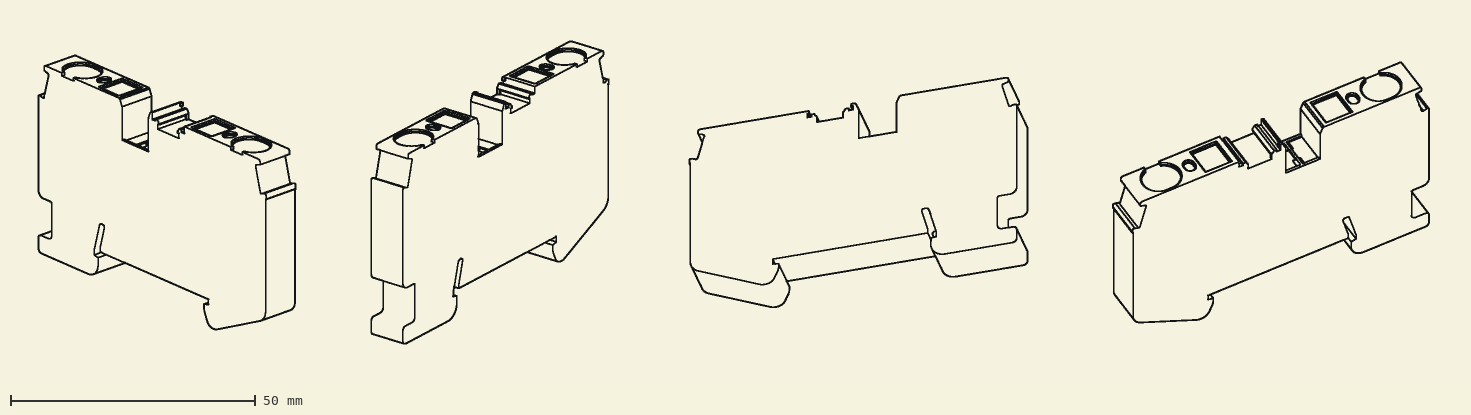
import cadquery as cq
import math


length = 69.5
thickness = 8.15
height = 42.1
back_y = thickness / 2
front_y = -back_y

right_wall_x = 69.35
head_axis = 34.72
shoulder_z = 35.0
bead_bottom_z = 33.85
shoulder_groove_z = 34.7
shoulder_flat_x = 0.5
groove_outer_x = 1.3
groove_inner_x = 1.65
lip_x = 1.77
lip_tip_z = 40.95
neck_x = 3.2
neck_top_z = 40.5

slot_left_x = 25.55
slot_right_x = 33.55
slot_axis = (slot_left_x + slot_right_x) / 2
slot_floor_z = 33.05
slot_bevel_x = 24.95
slot_bevel_bottom_z = 40.45
slot_edge_x = 24.6
slot_edge_z = 41.9

trough_axis = 39.65
trough_mouth_x = 34.78
trough_ledge_z = 40.55
trough_ridge_x = 35.7
trough_ridge_end_x = 36.3
trough_ridge_z = 41.1
trough_lip_x = 36.9
trough_lip_z = 40.25
trough_lip_underside_z = 40.05
trough_wall_x = 36.45
trough_floor_z = 38.95

tab_thickness = 0.65
tab_tip_x = 35.25
tab_slant = 0.15
tab_bottom_z = 41.45

underside_z = 6.05
left_step_z = 12.4
left_step_x = 4.1
foot_top_z = 4.0
tooth_root_z = 4.85
tooth_tip_z = 4.6
left_tooth_root_x = 17.1
left_tooth_tip_x = 18.25
right_tooth_root_x = 51.8
right_tooth_tip_x = 50.55
right_hook_side_z = 3.2
right_hook_heel_x = 52.0
right_heel_x = 54.1
right_corner_z = 7.05

slit_lean = (neck_x - groove_inner_x) / (neck_top_z - shoulder_groove_z)
slit_right_x = 18.9
slit_right_bottom_z = 7.05
slit_top_z = left_step_z

groove_radius = 0.2
neck_radius = 0.4
lip_tip_radius = 0.3
lip_top_radius = 0.55
bead_radius = 0.3
right_corner_radius = 3.0
right_heel_radius = 2.0
right_hook_side_radius = 3.0
slit_right_radius = 0.5
slit_left_radius = 0.7
foot_bottom_radius = 1.0
foot_top_radius = 0.85
step_bottom_radius = 1.0
step_top_radius = 0.4
left_wall_bottom_radius = 1.5
left_shoulder_radius = 0.4
left_hook_radius = 3.0

recess_depth = 0.65
rim_chamfer = 0.27
rim_chamfer_angle = 45
screw_x = 8.95
screw_length = 8.7
screw_width = 7.4
screw_opening_width = 3.5
test_hole_x = 15.55
test_hole_length = 3.2
test_hole_width = 2.55
test_hole_angle = 90
wire_entry_x = 20.6
wire_entry_size_x = 6.25
wire_entry_size_y = 6.5

pocket_depth = 0.4
pocket_half_width = 3.46
bar_left_x = 29.25
bar_right_x = 29.8
left_ramp_length = 0.55
right_ramp_length = 0.7
ramp_inner_y = 1.5


def mirrored(points, axis):
    """Mirror (x, z, radius) corners about the line x = axis, keeping the running order."""
    return [(2 * axis - x, z, radius) for x, z, radius in reversed(points)]


def rounded_outline(corners):
    """Closed XZ outline through (x, z, radius) corners, with tangent arcs where radius > 0."""
    segments = []
    for index, (x, z, radius) in enumerate(corners):
        corner = cq.Vector(x, z)
        previous = cq.Vector(*corners[index - 1][:2])
        following = cq.Vector(*corners[(index + 1) % len(corners)][:2])
        to_previous = (previous - corner).normalized()
        to_following = (following - corner).normalized()
        half_angle = to_previous.getAngle(to_following) / 2
        tangent_length = radius / math.tan(half_angle)
        middle_distance = radius / math.sin(half_angle) - radius
        bisector = (to_previous + to_following).normalized()
        segments.append((
            corner + to_previous * tangent_length,
            corner + bisector * middle_distance,
            corner + to_following * tangent_length,
            radius,
        ))

    outline = cq.Workplane("XZ").moveTo(segments[0][2].x, segments[0][2].y)
    for start, middle, end, radius in segments[1:] + segments[:1]:
        outline = outline.lineTo(start.x, start.y)
        if radius > 0:
            outline = outline.threePointArc((middle.x, middle.y), (end.x, end.y))
    return outline.close()


def extrude_between(outline, y_from, y_to):
    """Extrude an XZ outline from y_from to y_to."""
    return outline.extrude(y_from - y_to).translate((0, y_from, 0))


def make_body():
    """Profile of the housing, listed clockwise from the left shoulder."""
    left_neck = [
        (shoulder_flat_x, shoulder_z, 0),
        (groove_outer_x, shoulder_groove_z, 0),
        (groove_inner_x, shoulder_groove_z, groove_radius),
        (neck_x, neck_top_z, neck_radius),
        (lip_x, lip_tip_z, lip_tip_radius),
        (lip_x, height, lip_top_radius),
    ]
    slot_left_side = [
        (slot_edge_x, height, 0),
        (slot_bevel_x, slot_edge_z, 0),
        (slot_left_x, slot_bevel_bottom_z, 0),
        (slot_left_x, slot_floor_z, 0),
    ]
    trough_left_side = [
        (trough_mouth_x, height, 0),
        (trough_mouth_x, trough_ledge_z, 0),
        (trough_ridge_x, trough_ledge_z, 0),
        (trough_ridge_x, trough_ridge_z, 0),
        (trough_ridge_end_x, trough_ridge_z, 0),
        (trough_lip_x, trough_lip_z, 0),
        (trough_lip_x, trough_lip_underside_z, 0),
        (trough_wall_x, trough_lip_underside_z, 0),
        (trough_wall_x, trough_floor_z, 0),
    ]
    right_side = [
        (length, shoulder_z, bead_radius),
        (length, bead_bottom_z, 0),
        (right_wall_x, bead_bottom_z, 0),
        (right_wall_x, right_corner_z, right_corner_radius),
    ]
    right_hook = [
        (right_heel_x, 0, right_heel_radius),
        (right_hook_heel_x, 0, right_heel_radius),
        (right_tooth_tip_x, right_hook_side_z, right_hook_side_radius),
        (right_tooth_tip_x, tooth_tip_z, 0),
        (right_tooth_root_x, tooth_root_z, 0),
        (right_tooth_root_x, underside_z, 0),
    ]
    slit = [
        (slit_right_x, underside_z, 0),
        (slit_right_x, slit_right_bottom_z, 0),
        (slit_right_x + slit_lean * (slit_top_z - slit_right_bottom_z), slit_top_z, slit_right_radius),
        (left_tooth_root_x + slit_lean * (slit_top_z - underside_z), slit_top_z, slit_left_radius),
        (left_tooth_root_x, underside_z, 0),
    ]
    left_hook = [
        (left_tooth_root_x, tooth_root_z, 0),
        (left_tooth_tip_x, tooth_tip_z, 0),
        (left_tooth_tip_x, 0, left_hook_radius),
    ]
    left_foot = [
        (0, 0, foot_bottom_radius),
        (0, foot_top_z, foot_top_radius),
        (left_step_x, foot_top_z, step_bottom_radius),
        (left_step_x, left_step_z, step_top_radius),
        (0, left_step_z, left_wall_bottom_radius),
        (0, shoulder_z, left_shoulder_radius),
    ]
    outline = rounded_outline(
        left_neck
        + slot_left_side + mirrored(slot_left_side, slot_axis)
        + trough_left_side + mirrored(trough_left_side, trough_axis)
        + mirrored(left_neck, head_axis)
        + right_side + right_hook + slit + left_hook + left_foot
    )
    return extrude_between(outline, front_y, back_y)


def make_marker_tabs():
    """Tabs at the back that overhang the trough ledges and close the ends of its undercuts."""
    hook = [
        (trough_mouth_x, tab_bottom_z, 0),
        (trough_mouth_x, height, 0),
        (tab_tip_x - tab_slant, height, 0),
        (tab_tip_x, tab_bottom_z, 0),
    ]
    web = [
        (trough_wall_x, trough_floor_z, 0),
        (trough_wall_x, trough_lip_underside_z, 0),
        (trough_lip_x, trough_lip_underside_z, 0),
        (trough_lip_x, trough_floor_z, 0),
    ]
    tabs = []
    for corners in (hook, web, mirrored(hook, trough_axis), mirrored(web, trough_axis)):
        tabs.append(extrude_between(rounded_outline(corners), back_y - tab_thickness, back_y))
    return tabs


def chamfered_recess(make_outline, long_size, cross_size, *angle):
    """Straight recess cutter with a chamfered rim; the sizes are those of the rim opening."""
    top = cq.Workplane("XY", origin=(0, 0, height))
    rim = make_outline(top, long_size, cross_size, *angle).extrude(-rim_chamfer, taper=rim_chamfer_angle)
    inset = 2 * rim_chamfer
    well = make_outline(top, long_size - inset, cross_size - inset, *angle).extrude(-recess_depth)
    return rim.union(well)


def make_top_recesses():
    """Cutters for the left screw recess, test hole and wire entry."""
    screw = chamfered_recess(cq.Workplane.slot2D, screw_length, screw_width)
    opening = cq.Workplane("XY").box(
        screw_opening_width, back_y, recess_depth, centered=(True, False, False)
    ).translate((0, front_y, height - recess_depth))
    screw = screw.union(opening).translate((screw_x, 0, 0))

    test_hole = chamfered_recess(cq.Workplane.slot2D, test_hole_length, test_hole_width, test_hole_angle)
    test_hole = test_hole.translate((test_hole_x, 0, 0))

    wire_entry = chamfered_recess(cq.Workplane.rect, wire_entry_size_x, wire_entry_size_y)
    wire_entry = wire_entry.translate((wire_entry_x, 0, 0))
    return screw.union(test_hole).union(wire_entry)


def make_slot_pockets():
    """Cutter for the slot-floor pockets, leaving the bar and its four end ramps."""
    pocket_floor_z = slot_floor_z - pocket_depth
    cutter = cq.Workplane("XY").box(
        slot_right_x - slot_left_x, 2 * pocket_half_width, pocket_depth, centered=(False, True, False)
    ).translate((slot_left_x, 0, pocket_floor_z))
    bar = cq.Workplane("XY").box(
        bar_right_x - bar_left_x, 2 * pocket_half_width, pocket_depth, centered=(False, True, False)
    ).translate((bar_left_x, 0, pocket_floor_z))
    cutter = cutter.cut(bar)
    ramp_corners = [
        (bar_left_x - left_ramp_length, pocket_floor_z, 0),
        (bar_left_x, slot_floor_z, 0),
        (bar_right_x, slot_floor_z, 0),
        (bar_right_x + right_ramp_length, pocket_floor_z, 0),
    ]
    for y_from in (-pocket_half_width, ramp_inner_y):
        y_to = y_from + pocket_half_width - ramp_inner_y
        cutter = cutter.cut(extrude_between(rounded_outline(ramp_corners), y_from, y_to))
    return cutter


top_recesses = make_top_recesses()
mirrored_recesses = top_recesses.mirror("YZ", (head_axis, 0, 0))

result = make_body()
for tab in make_marker_tabs():
    result = result.union(tab)
result = result.cut(top_recesses).cut(mirrored_recesses).cut(make_slot_pockets())